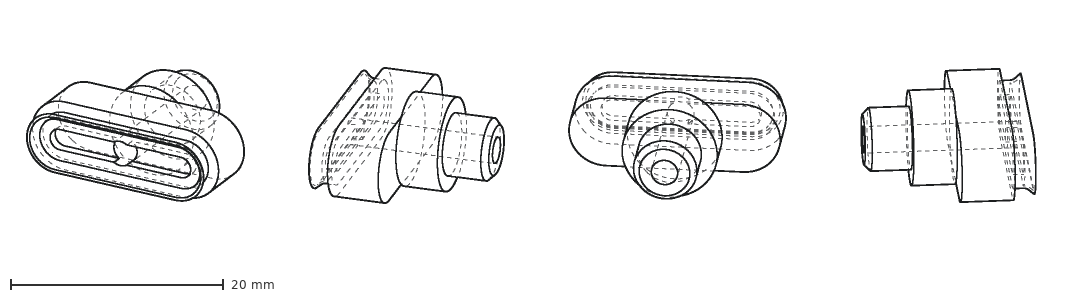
import cadquery as cq
import math

body_length = 20.0
body_height = 7.0
center_spacing = body_length - body_height

neck_end = 2.0
body_end = 7.0
collar_end = 11.1
pin_end = 15.5

collar_diameter = 9.0
pin_diameter = 6.0
pin_chamfer = 0.6
bore_diameter = 2.5

neck_radius = 2.4
rim_radius = 3.0
wall = 0.25
flare_angle = math.radians(40)
flare_bend_radius = 0.8

slot_height = 2.1
slot_depth = 1.0

bend_rise = flare_bend_radius * (1 - math.cos(flare_angle))
flare_length = (rim_radius - neck_radius - bend_rise) / math.tan(flare_angle)
bend_start = flare_length + flare_bend_radius * math.sin(flare_angle)


def stadium(height, y_start, y_end):
    """Solid stadium prism running along Y."""
    return (
        cq.Workplane("XZ", origin=(0, y_start, 0))
        .slot2D(center_spacing + height, height)
        .extrude(y_start - y_end)
    )


def cylinder(diameter, y_start, y_end):
    """Solid cylinder on the Y axis."""
    return cq.Workplane("XZ", origin=(0, y_start, 0)).circle(diameter / 2).extrude(y_start - y_end)


def flared_stadium(inset, y_end):
    """Stadium plug bounded by the flare surface moved inward by inset."""
    bend_radius = flare_bend_radius + inset
    bend_center = neck_radius + flare_bend_radius

    def bend_point(angle):
        return (bend_center - bend_radius * math.cos(angle), bend_start - bend_radius * math.sin(angle))

    rim_edge = rim_radius - inset / math.cos(flare_angle)
    profile = (
        cq.Workplane("XY")
        .lineTo(rim_edge, 0)
        .lineTo(*bend_point(flare_angle))
        .threePointArc(bend_point(flare_angle / 2), bend_point(0))
    )
    if y_end > bend_start:
        profile = profile.lineTo(neck_radius - inset, y_end)
    profile = profile.lineTo(0, y_end).close()

    half_prism = profile.extrude(center_spacing / 2, both=True)
    round_end = profile.toPending().revolve(360, (0, 0, 0), (0, 1, 0))
    plug = half_prism.rotate((0, 0, 0), (0, 1, 0), 90)
    plug = plug.union(half_prism.rotate((0, 0, 0), (0, 1, 0), -90))
    for side in (-1, 1):
        plug = plug.union(round_end.translate((side * center_spacing / 2, 0, 0)))
    return plug


body = stadium(body_height, neck_end, body_end)
collar = cylinder(collar_diameter, body_end, collar_end)
pin = cylinder(pin_diameter, collar_end, pin_end).faces(">Y").chamfer(pin_chamfer)

neck = flared_stadium(0, neck_end)
recess = flared_stadium(wall, bend_start)
slot = stadium(slot_height, bend_start, bend_start + slot_depth)
bore = cylinder(bore_diameter, 0, pin_end)

result = body.union(collar).union(pin).union(neck).cut(recess).cut(slot).cut(bore)